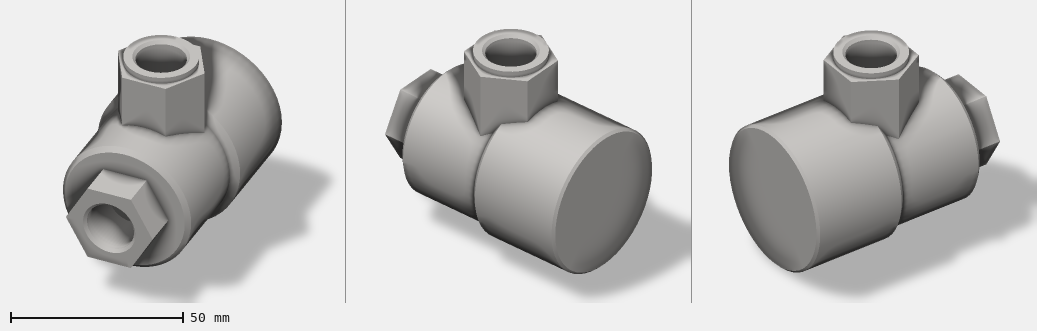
import cadquery as cq
import math

overall_length = 71.0
overall_height = 60.8
large_diameter = 45.5
small_diameter = 41.0
neck_length = 10.9
shoulder_start = 39.05
shoulder_chamfer = (large_diameter - small_diameter) / 2
front_chamfer = 1.4
rear_chamfer = 0.8

hex_sides = 6
hex_across_flats = 24.0
hex_across_corners = hex_across_flats / math.cos(math.pi / hex_sides)
top_port_y = 36.0
top_port_height = overall_height - large_diameter / 2
collar_diameter = 22.0
collar_height = 2.0
bore_diameter = 15.0
bore_mouth_diameter = 16.75
bore_depth = 15.6


def make_body():
    """Stepped round body, chamfered at both ends and at the step."""
    large_radius = large_diameter / 2
    small_radius = small_diameter / 2
    profile = [
        (0, neck_length),
        (small_radius - front_chamfer, neck_length),
        (small_radius, neck_length + front_chamfer),
        (small_radius, shoulder_start),
        (large_radius, shoulder_start + shoulder_chamfer),
        (large_radius, overall_length - rear_chamfer),
        (large_radius - rear_chamfer, overall_length),
        (0, overall_length),
    ]
    return cq.Workplane("XY").polyline(profile).close().revolve(360, (0, 0, 0), (0, 1, 0))


def make_bore(mouth):
    """Blind bore with a 45 degree mouth chamfer, running inward from the mouth plane."""
    bore_radius = bore_diameter / 2
    mouth_radius = bore_mouth_diameter / 2
    cutter = cq.Workplane(mouth).circle(bore_radius).extrude(-bore_depth)
    chamfer_depth = mouth_radius - bore_radius
    cone = cq.Solid.makeCone(
        mouth_radius, bore_radius, chamfer_depth, pnt=mouth.origin, dir=-mouth.zDir
    )
    return cutter.union(cq.Workplane(obj=cone))


front_mouth = cq.Plane(origin=(0, 0, 0), xDir=(1, 0, 0), normal=(0, -1, 0))
top_mouth = cq.Plane(origin=(0, top_port_y, top_port_height), xDir=(1, 0, 0), normal=(0, 0, 1))

front_hex = cq.Workplane(front_mouth).polygon(hex_sides, hex_across_corners).extrude(-shoulder_start)

top_hex = (
    cq.Workplane("XY")
    .center(0, top_port_y)
    .polygon(hex_sides, hex_across_corners)
    .extrude(top_port_height - collar_height)
)
collar = cq.Workplane(top_mouth).circle(collar_diameter / 2).extrude(-collar_height)

result = make_body().union(front_hex).union(top_hex).union(collar)
for mouth_plane in (front_mouth, top_mouth):
    result = result.cut(make_bore(mouth_plane))